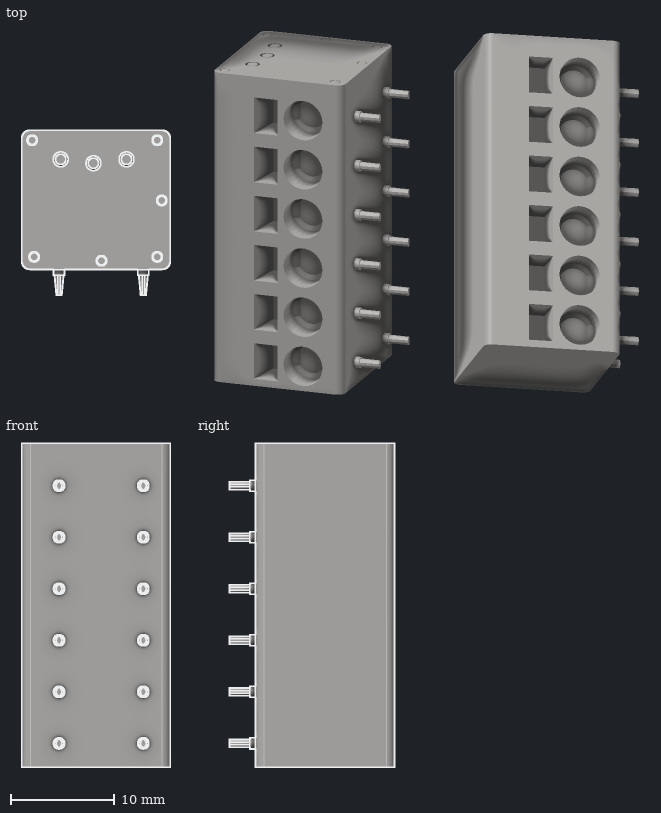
import cadquery as cq
height = 31.4
width = 14.4
depth = 13.5
corner_radius = 0.82

pole_count = 6
pole_pitch = 5.0
first_pin_z = 2.32
first_hole_z = 2.5

pin_x_positions = (-3.58, 4.6)
pin_length = 2.5
collar_diameter = 1.1
collar_length = 0.53
shank_height = 0.8
shank_base_width = 0.9
shank_tip_width = 0.53
shank_flat = 0.25
shank_length = pin_length - collar_length

entry_y = 4.1
mouth_diameter = 4.0
throat_diameter = 3.75
end_diameter = 2.92
bore_depth = 2.2
funnel_depth = 0.47
entry_depth = bore_depth + funnel_depth
flat_gap_at_funnel = 3.42
flat_gap_at_end = 2.48
flat_slope = (flat_gap_at_funnel - flat_gap_at_end) / 2 / funnel_depth

slot_y_min = 6.75
slot_y_max = 9.17
slot_height = 3.6
slot_floor_y_max = 8.55
slot_depth = 3.77

large_peg_centres = ((-3.42, 10.68), (-0.25, 10.3), (2.95, 10.68))
large_peg_hole_radius = 0.72
large_peg_top_radius = 0.5
large_peg_groove_depth = 0.47
small_peg_centres = ((-6.2, 12.53), (5.95, 12.53), (6.37, 6.7), (5.95, 1.22), (0.53, 0.85), (-6.0, 1.22))
small_peg_hole_radius = 0.5
small_peg_top_radius = 0.4
small_peg_groove_depth = 0.2

face_x = -width / 2


def make_housing():
    block = cq.Workplane("XY").box(width, depth, height, centered=(True, False, False))
    return block.edges("|Z").fillet(corner_radius)


def make_peg_groove(centre, hole_radius, top_radius, groove_depth):
    """Ring left between a clearance hole and the tapered peg that fills its middle."""
    hole = cq.Solid.makeCylinder(hole_radius, groove_depth)
    peg = cq.Solid.makeCone(hole_radius, top_radius, groove_depth)
    return cq.Workplane(hole.cut(peg)).translate((centre[0], centre[1], height - groove_depth))


def shank_section(workplane, section_width):
    """Octagon with a narrow flat on each side."""
    half_w = section_width / 2
    half_h = shank_height / 2
    half_flat = shank_flat / 2
    return workplane.polyline([
        (half_w, half_flat), (half_flat, half_h), (-half_flat, half_h), (-half_w, half_flat),
        (-half_w, -half_flat), (-half_flat, -half_h), (half_flat, -half_h), (half_w, -half_flat),
    ]).close()


def make_pin():
    """Collar and tapered octagonal shank along -Y from the origin."""
    collar = cq.Workplane("XZ").circle(collar_diameter / 2).extrude(collar_length)
    shank_plane = cq.Workplane("XZ", origin=(0, -collar_length, 0))
    shank_base = shank_section(shank_plane, shank_base_width)
    shank = shank_section(shank_base.workplane(offset=shank_length), shank_tip_width).loft(ruled=True)
    return collar.union(shank)


def make_entry_hole():
    """Slightly drafted round bore and a funnel along +X, narrowed by two sloping flats."""
    inward = cq.Vector(1, 0, 0)
    bore = cq.Solid.makeCone(mouth_diameter / 2, throat_diameter / 2, bore_depth, dir=inward)
    funnel = cq.Solid.makeCone(
        throat_diameter / 2, end_diameter / 2, funnel_depth, pnt=cq.Vector(bore_depth, 0, 0), dir=inward
    )
    mouth_half_gap = flat_gap_at_funnel / 2 + flat_slope * bore_depth
    end_half_gap = flat_gap_at_end / 2
    between_flats = (
        cq.Workplane("XY")
        .polyline([
            (0, -mouth_half_gap), (0, mouth_half_gap),
            (entry_depth, end_half_gap), (entry_depth, -end_half_gap),
        ])
        .close()
        .extrude(mouth_diameter / 2, both=True)
    )
    return cq.Workplane(bore).union(cq.Workplane(funnel)).intersect(between_flats)


def make_release_slot():
    """Pocket whose +Y wall slopes inward with depth."""
    return (
        cq.Workplane("XY", origin=(0, 0, -slot_height / 2))
        .polyline([
            (0, slot_y_min), (0, slot_y_max),
            (slot_depth, slot_floor_y_max), (slot_depth, slot_y_min),
        ])
        .close()
        .extrude(slot_height)
    )


pin = make_pin()
entry_hole = make_entry_hole()
release_slot = make_release_slot()

result = make_housing()
for pole in range(pole_count):
    pin_z = first_pin_z + pole * pole_pitch
    hole_z = first_hole_z + pole * pole_pitch
    result = result.cut(entry_hole.translate((face_x, entry_y, hole_z)))
    result = result.cut(release_slot.translate((face_x, 0, hole_z)))
    for pin_x in pin_x_positions:
        result = result.union(pin.translate((pin_x, 0, pin_z)))

for centre in large_peg_centres:
    result = result.cut(
        make_peg_groove(centre, large_peg_hole_radius, large_peg_top_radius, large_peg_groove_depth)
    )
for centre in small_peg_centres:
    result = result.cut(
        make_peg_groove(centre, small_peg_hole_radius, small_peg_top_radius, small_peg_groove_depth)
    )